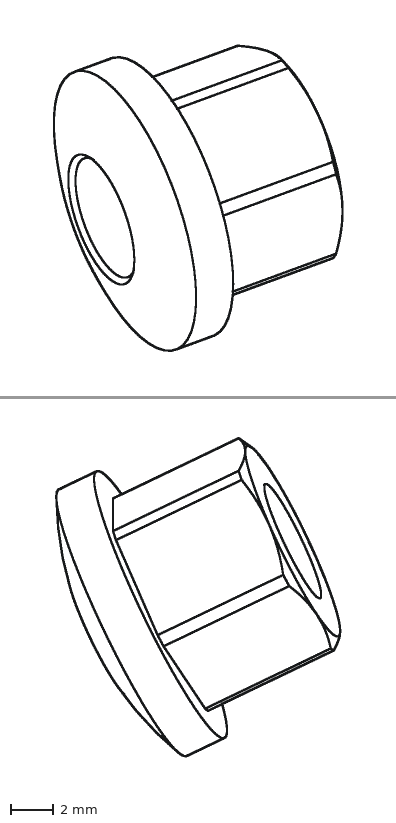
import cadquery as cq
import math

flange_diameter = 14.0
flange_thickness = 2.0
dome_height = 1.27
hex_length = 7.0
across_flats = 10.0
across_corners = 11.2
end_chamfer_angle = 30.0
bore_diameter = 5.99
bore_mouth_diameter = 6.5
mouth_chamfer_angle = 45.0

flange_radius = flange_diameter / 2
bore_radius = bore_diameter / 2
mouth_radius = bore_mouth_diameter / 2
hex_end = flange_thickness + hex_length


def revolve_about_y(profile):
    return profile.close().revolve(360, (0, 0, 0), (0, 1, 0))


def dome_midpoint():
    """Point on the dome arc, whose center lies on the part axis."""
    center_y = (flange_radius**2 - mouth_radius**2 - dome_height**2) / (2 * dome_height)
    dome_radius = math.hypot(flange_radius, center_y)
    mid_radius = (flange_radius + mouth_radius) / 2
    return mid_radius, center_y - math.sqrt(dome_radius**2 - mid_radius**2)


def make_flange():
    return revolve_about_y(
        cq.Workplane("XY")
        .moveTo(0, -dome_height)
        .lineTo(mouth_radius, -dome_height)
        .threePointArc(dome_midpoint(), (flange_radius, 0))
        .lineTo(flange_radius, flange_thickness)
        .lineTo(0, flange_thickness)
    )


def make_hexagon():
    """Hexagon with flats facing +X and -X, rounded corners and a conical end."""
    hexagon = (
        cq.Workplane("XZ")
        .transformed(rotate=(0, 0, 30))
        .polygon(6, across_flats / math.cos(math.radians(30)))
        .extrude(-hex_end)
    )
    flat_radius = across_flats / 2
    corner_radius = across_corners / 2
    chamfer_length = (corner_radius - flat_radius) * math.tan(math.radians(end_chamfer_angle))
    envelope = revolve_about_y(
        cq.Workplane("XY")
        .moveTo(0, 0)
        .lineTo(corner_radius, 0)
        .lineTo(corner_radius, hex_end - chamfer_length)
        .lineTo(flat_radius, hex_end)
        .lineTo(0, hex_end)
    )
    return hexagon.intersect(envelope)


def make_bore():
    """Through bore with a chamfered mouth on the dome side."""
    mouth_depth = (mouth_radius - bore_radius) / math.tan(math.radians(mouth_chamfer_angle))
    return revolve_about_y(
        cq.Workplane("XY")
        .moveTo(0, -dome_height)
        .lineTo(mouth_radius, -dome_height)
        .lineTo(bore_radius, mouth_depth - dome_height)
        .lineTo(bore_radius, hex_end)
        .lineTo(0, hex_end)
    )


result = make_flange().union(make_hexagon()).cut(make_bore())